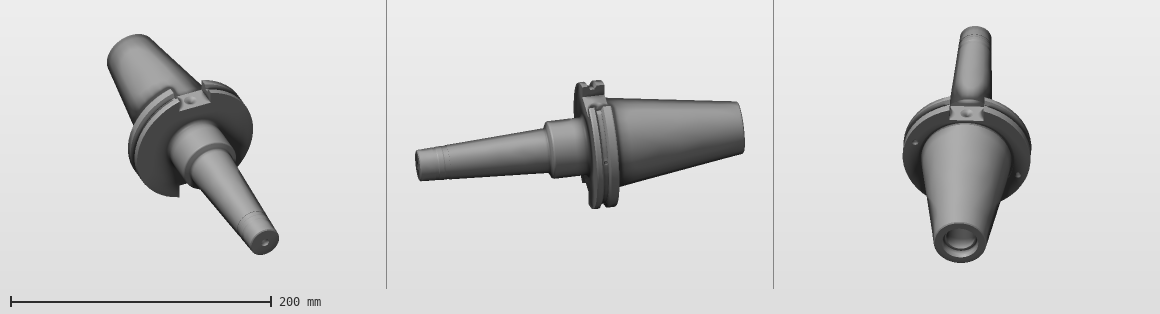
import cadquery as cq
import math

total_length = 251.5
gauge_line = 101.6
flange_front = 103.5
flange_back = 120.8
groove_centre = 113.0
nose_start = 152.5

taper_ratio = 7 / 24
gauge_diameter = 70.0
small_end_chamfer = 0.8
neck_diameter = 69.2
neck_chamfer_length = 0.8
recess_diameter = 73.2
recess_depth = 0.8

flange_diameter = 98.0
front_edge_length = 0.8
back_edge_length = 1.3
flange_edge_drop = 0.3
groove_floor_diameter = 91.3
groove_step = 0.5
groove_floor_width = 3.5
groove_wall_angle = 30.0

collar_diameter = 44.5
collar_fillet = 2.8
shoulder_slope_length = 1.8
shoulder_round_length = 1.5
shoulder_round_drop = 0.8

tip_diameter = 24.2
nose_half_angle = 3.0
tip_chamfer = 0.8
first_band = (228.5, 233.0)
second_band = (236.8, 239.8)
band_depth = 0.3
band_ramp_length = 0.8

bore_mouth_diameter = 28.2
bore_mouth_depth = 2.3
pilot_diameter = 26.2
pilot_depth = 6.8
thread_diameter = 22.0
thread_depth = 45.3
drill_half_angle = 59.0
through_diameter = 6.5

slot_width = 26.2
upper_slot_floor = 37.5
lower_slot_floor = 35.5

dimple_diameter = 10.0

coolant_radius = 42.0
coolant_angle = 20.3
coolant_mouth_diameter = 5.0
coolant_mouth_depth = 0.5
coolant_diameter = 4.0
feed_diameter = 3.3


def nose_radius(x):
    return tip_diameter / 2 + (total_length - x) * math.tan(math.radians(nose_half_angle))


def body():
    gauge_radius = gauge_diameter / 2
    small_radius = gauge_radius - gauge_line * taper_ratio / 2
    flange_radius = flange_diameter / 2
    floor_radius = groove_floor_diameter / 2
    half_floor = groove_floor_width / 2
    step_radius = floor_radius + groove_step
    wall_height = flange_radius - step_radius
    half_mouth = half_floor + wall_height * math.tan(math.radians(groove_wall_angle))
    edge_radius = flange_radius - flange_edge_drop
    collar_radius = collar_diameter / 2
    neck_radius = neck_diameter / 2
    recess_radius = recess_diameter / 2
    recess_floor = flange_front + recess_depth
    slope_end = nose_start - shoulder_round_length
    slope_start = slope_end - shoulder_slope_length
    shoulder_start = slope_start - shoulder_round_length
    chamfer_start = total_length - tip_chamfer

    outline = (
        cq.Workplane("XY")
        .moveTo(0, 0)
        .lineTo(0, small_radius - small_end_chamfer)
        .lineTo(small_end_chamfer, small_radius + small_end_chamfer * taper_ratio / 2)
        .lineTo(gauge_line, gauge_radius)
        .lineTo(gauge_line + neck_chamfer_length, neck_radius)
        .lineTo(recess_floor, neck_radius)
        .lineTo(recess_floor, recess_radius)
        .lineTo(flange_front, recess_radius)
        .lineTo(flange_front, edge_radius)
        .lineTo(flange_front + front_edge_length, flange_radius)
        .lineTo(groove_centre - half_mouth, flange_radius)
        .lineTo(groove_centre - half_floor, step_radius)
        .lineTo(groove_centre - half_floor, floor_radius)
        .lineTo(groove_centre + half_floor, floor_radius)
        .lineTo(groove_centre + half_floor, step_radius)
        .lineTo(groove_centre + half_mouth, flange_radius)
        .lineTo(flange_back - back_edge_length, flange_radius)
        .lineTo(flange_back, edge_radius)
        .lineTo(flange_back, collar_radius + collar_fillet)
        .tangentArcPoint((flange_back + collar_fillet, collar_radius), relative=False)
        .lineTo(shoulder_start, collar_radius)
        .tangentArcPoint((slope_start, collar_radius - shoulder_round_drop), relative=False)
        .lineTo(slope_end, nose_radius(nose_start) + shoulder_round_drop)
        .tangentArcPoint((nose_start, nose_radius(nose_start)), relative=False)
        .lineTo(chamfer_start, nose_radius(chamfer_start))
        .lineTo(total_length, tip_diameter / 2 - tip_chamfer)
        .lineTo(total_length, 0)
        .close()
    )
    return outline.revolve(360, (0, 0, 0), (1, 0, 0))


def marking_band(step, ramp_top):
    ramp_foot = ramp_top - math.copysign(band_ramp_length, ramp_top - step)
    outline = (
        cq.Workplane("XY")
        .moveTo(step, nose_radius(step) - band_depth)
        .lineTo(ramp_foot, nose_radius(ramp_foot) - band_depth)
        .lineTo(ramp_top, nose_radius(ramp_top))
        .lineTo(ramp_top, collar_diameter / 2)
        .lineTo(step, collar_diameter / 2)
        .close()
    )
    return outline.revolve(360, (0, 0, 0), (1, 0, 0))


def axial_bore():
    pilot_radius = pilot_diameter / 2
    mouth_radius = bore_mouth_diameter / 2
    thread_radius = thread_diameter / 2
    through_radius = through_diameter / 2
    cone_length = (thread_radius - through_radius) / math.tan(math.radians(drill_half_angle))
    outline = (
        cq.Workplane("XY")
        .moveTo(0, 0)
        .lineTo(0, mouth_radius)
        .lineTo(bore_mouth_depth, pilot_radius)
        .lineTo(pilot_depth, pilot_radius)
        .lineTo(pilot_depth, thread_radius)
        .lineTo(thread_depth, thread_radius)
        .lineTo(thread_depth + cone_length, through_radius)
        .lineTo(total_length, through_radius)
        .lineTo(total_length, 0)
        .close()
    )
    return outline.revolve(360, (0, 0, 0), (1, 0, 0))


def drive_slot(floor_distance, side):
    depth = flange_diameter / 2 - floor_distance
    middle_z = side * (floor_distance + depth / 2)
    return cq.Workplane("XY").box(flange_back - flange_front, slot_width, depth).translate(
        ((flange_front + flange_back) / 2, 0, middle_z)
    )


def dimple():
    radius = dimple_diameter / 2
    depth = radius / math.tan(math.radians(drill_half_angle))
    cone = cq.Solid.makeCone(0, radius, depth)
    return cone.translate(cq.Vector((flange_front + flange_back) / 2, 0, upper_slot_floor - depth))


def coolant_hole():
    face = cq.Workplane("YZ", origin=(flange_front, coolant_radius, 0))
    mouth = cq.Workplane(
        cq.Solid.makeCone(
            coolant_mouth_diameter / 2,
            coolant_diameter / 2,
            coolant_mouth_depth,
            cq.Vector(flange_front, coolant_radius, 0),
            cq.Vector(1, 0, 0),
        )
    )
    channel = face.circle(coolant_diameter / 2).extrude(groove_centre - flange_front)
    feed = (
        cq.Workplane("XZ", origin=(groove_centre, coolant_radius, 0))
        .circle(feed_diameter / 2)
        .extrude(coolant_radius - flange_diameter / 2)
    )
    return mouth.union(channel).union(feed)


result = body().cut(axial_bore())
result = result.cut(marking_band(*first_band)).cut(marking_band(*reversed(second_band)))
result = result.cut(drive_slot(upper_slot_floor, 1)).cut(drive_slot(lower_slot_floor, -1))
result = result.cut(dimple())
for turn in (coolant_angle, coolant_angle + 180):
    result = result.cut(coolant_hole().rotate((0, 0, 0), (1, 0, 0), turn))